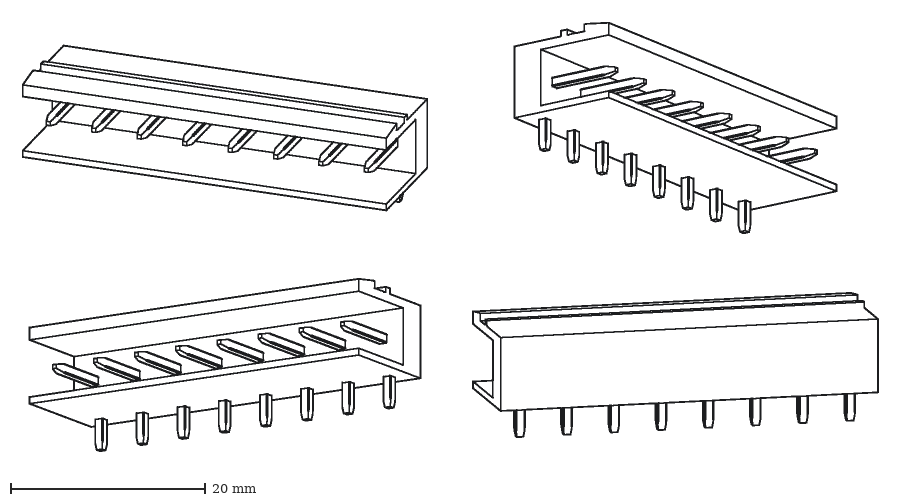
import cadquery as cq

overall_height = 11.7

housing_length = 40.0
housing_depth = 12.0
back_block_depth = 3.4
floor_thickness = 0.7
deck_height = 7.7
ceiling_height = 6.75

rib_front = 5.3
rib_width = 0.8
rib_rise = 0.6
rib_foot_radius = 0.1

wedge_depth = 3.1
wedge_flat = 0.3
wedge_peak_height = 8.5
wedge_nose_height = 8.1

pin_count = 8
pin_pitch = housing_length / pin_count
pin_width = 1.0
pin_chamfer = 0.1
pin_axis_height = 3.8
pin_leg_setback = 2.1
pin_bottom = wedge_peak_height - overall_height
pin_front = 0.85
contact_tip_length = 1.3
contact_tip_width = 0.45
leg_tip_length = 1.0
leg_tip_width = 0.7

leg_axis_y = housing_depth - pin_leg_setback


def make_housing_block():
    """Channel profile with wedge and fillet-footed rib, extruded along X."""
    cavity_back = housing_depth - back_block_depth
    rib_back = rib_front + rib_width
    rib_top = deck_height + rib_rise
    profile = (
        cq.Workplane("YZ")
        .moveTo(0, 0)
        .lineTo(housing_depth, 0)
        .lineTo(housing_depth, deck_height)
        .lineTo(rib_back + rib_foot_radius, deck_height)
        .radiusArc((rib_back, deck_height + rib_foot_radius), rib_foot_radius)
        .lineTo(rib_back, rib_top)
        .lineTo(rib_front, rib_top)
        .lineTo(rib_front, deck_height + rib_foot_radius)
        .radiusArc((rib_front - rib_foot_radius, deck_height), rib_foot_radius)
        .lineTo(wedge_depth, deck_height)
        .lineTo(wedge_depth, wedge_peak_height)
        .lineTo(wedge_depth - wedge_flat, wedge_peak_height)
        .lineTo(0, wedge_nose_height)
        .lineTo(0, ceiling_height)
        .lineTo(cavity_back, ceiling_height)
        .lineTo(cavity_back, floor_thickness)
        .lineTo(0, floor_thickness)
        .close()
    )
    return profile.extrude(housing_length / 2, both=True)


def make_section(width):
    """Square pin section with chamfered corners."""
    return cq.Sketch().rect(width, width).vertices().chamfer(pin_chamfer)


def make_tip(plane, length, end_width):
    """Tip along the plane's normal: the chamfered bar trimmed by a square taper, which leaves a square end."""
    bar = cq.Workplane(plane).placeSketch(make_section(pin_width)).extrude(length)
    root = cq.Sketch().rect(pin_width, pin_width)
    end = cq.Sketch().rect(end_width, end_width).moved(cq.Location(cq.Vector(0, 0, length)))
    taper = cq.Workplane(plane).placeSketch(root, end).loft()
    return bar.intersect(taper)


def make_pin(x):
    """One pin: contact along Y, right-angle bend inside the housing, leg down along Z."""
    contact_root_y = pin_front + contact_tip_length
    leg_root_z = pin_bottom + leg_tip_length
    path = (
        cq.Workplane("YZ", origin=(x, 0, 0))
        .moveTo(contact_root_y, pin_axis_height)
        .lineTo(leg_axis_y, pin_axis_height)
        .lineTo(leg_axis_y, leg_root_z)
    )
    contact_plane = cq.Plane(origin=(x, contact_root_y, pin_axis_height), xDir=(1, 0, 0), normal=(0, -1, 0))
    leg_plane = cq.Plane(origin=(x, leg_axis_y, leg_root_z), xDir=(1, 0, 0), normal=(0, 0, -1))
    bar = cq.Workplane(contact_plane).placeSketch(make_section(pin_width)).sweep(path, transition="right")
    contact_tip = make_tip(contact_plane, contact_tip_length, contact_tip_width)
    leg_tip = make_tip(leg_plane, leg_tip_length, leg_tip_width)
    return bar.union(contact_tip).union(leg_tip)


first_pin_x = -pin_pitch * (pin_count - 1) / 2
pins = [make_pin(first_pin_x + i * pin_pitch) for i in range(pin_count)]

housing = make_housing_block()
for pin in pins:
    housing = housing.cut(pin)

result = cq.Compound.makeCompound([housing.val(), *[pin.val() for pin in pins]])